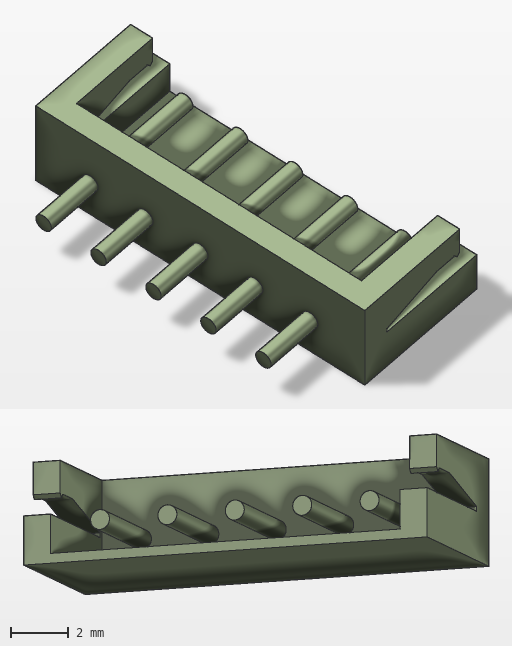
import cadquery as cq

length = 15.0
depth = 6.0
height = 3.8
wall = 1.0
floor_thickness = 0.35

pin_count = 5
pin_pitch = 2.5
pin_diameter = 0.7
pin_height = 1.6
pin_front_length = 2.5

arm_depth = 5.08
slot_floor = 1.74
slot_root = 1.18
slot_root_height = 0.16
ramp_end = 3.85
slot_roof = 2.64
tooth_drop = 0.15
tooth_half_width = 0.14


def make_housing():
    """Tray with a front wall and two end walls, open at the top and back."""
    block = cq.Workplane("XY").box(length, depth, height, centered=(True, False, False))
    cavity = (
        cq.Workplane("XY")
        .box(length - 2 * wall, depth - wall, height - floor_thickness, centered=(True, False, False))
        .translate((0, wall, floor_thickness))
    )
    return block.cut(cavity)


def make_latch_slot():
    """Tapered slot through both end walls, with a small tooth at the arm tip."""
    return (
        cq.Workplane("YZ")
        .moveTo(slot_root, slot_floor)
        .lineTo(slot_root, slot_floor + slot_root_height)
        .lineTo(ramp_end, slot_roof)
        .lineTo(arm_depth - 2 * tooth_half_width, slot_roof)
        .lineTo(arm_depth - tooth_half_width, slot_roof - tooth_drop)
        .lineTo(arm_depth, slot_roof)
        .lineTo(arm_depth, height)
        .lineTo(depth, height)
        .lineTo(depth, slot_floor)
        .close()
        .extrude(length / 2, both=True)
    )


def make_pins():
    """Row of round pins that pass through the front wall."""
    first_x = -pin_pitch * (pin_count - 1) / 2
    centers = [(first_x + i * pin_pitch, pin_height) for i in range(pin_count)]
    return (
        cq.Workplane("XZ", origin=(0, -pin_front_length, 0))
        .pushPoints(centers)
        .circle(pin_diameter / 2)
        .extrude(-(pin_front_length + arm_depth))
    )


result = make_housing().cut(make_latch_slot()).union(make_pins())